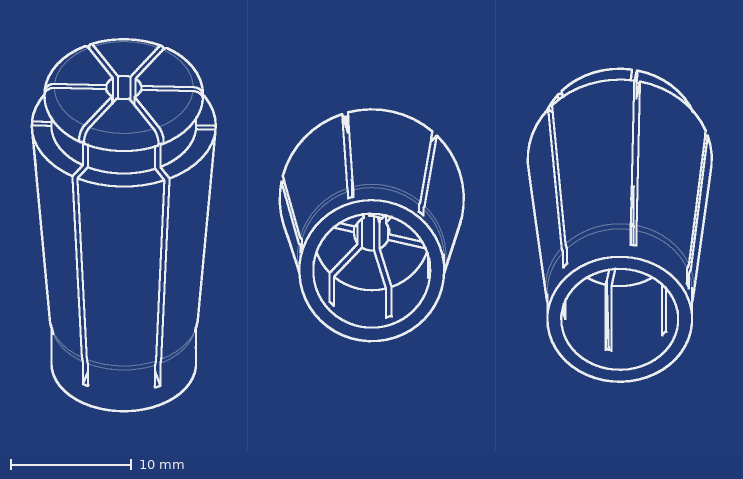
import cadquery as cq
import math

total_height = 30.5
shank_top = 4.58
cone_bottom = 5.15
cone_top = 26.3

shank_radius = 6.0
cone_bottom_radius = 6.15
cone_top_radius = 15.28 / 2

lip_round = 0.84
lip_outer_radius = 6.6
lip_face_radius = lip_outer_radius - lip_round
lip_mid_height = total_height - lip_round
lip_neck_drop = math.sqrt(lip_round**2 - (shank_radius - lip_face_radius) ** 2)

grip_radius = 1.45
relief_radius = 4.85
relief_height = 13.72

slot_count = 6
slot_width = 0.5
slot_outer_floor = 2.1
slot_inner_floor = 3.17
slot_floor_slope = (slot_inner_floor - slot_outer_floor) / (shank_radius - relief_radius)
slot_reach = cone_top_radius + 0.3


def make_body():
    """Revolve the outer outline of the collet about Z."""
    return (
        cq.Workplane("XZ")
        .lineTo(shank_radius, 0)
        .lineTo(shank_radius, shank_top)
        .lineTo(cone_bottom_radius, cone_bottom)
        .lineTo(cone_top_radius, cone_top)
        .lineTo(shank_radius, cone_top)
        .lineTo(shank_radius, lip_mid_height - lip_neck_drop)
        .threePointArc((lip_outer_radius, lip_mid_height), (lip_face_radius, total_height))
        .lineTo(0, total_height)
        .close()
        .revolve(360, (0, 0, 0), (0, 1, 0))
    )


def make_bores():
    grip = cq.Workplane("XY").circle(grip_radius).extrude(total_height)
    relief = cq.Workplane("XY").circle(relief_radius).extrude(relief_height)
    return grip.union(relief)


def make_slot():
    """One slot from the axis out through the +Y side."""

    def floor_height(radius):
        return slot_outer_floor + slot_floor_slope * (shank_radius - radius)

    return (
        cq.Workplane("YZ")
        .moveTo(0, floor_height(0))
        .lineTo(slot_reach, floor_height(slot_reach))
        .lineTo(slot_reach, total_height)
        .lineTo(0, total_height)
        .close()
        .extrude(slot_width / 2, both=True)
    )


result = make_body().cut(make_bores())
slot = make_slot()
for index in range(slot_count):
    angle = index * 360 / slot_count
    result = result.cut(slot.rotate((0, 0, 0), (0, 0, 1), angle))